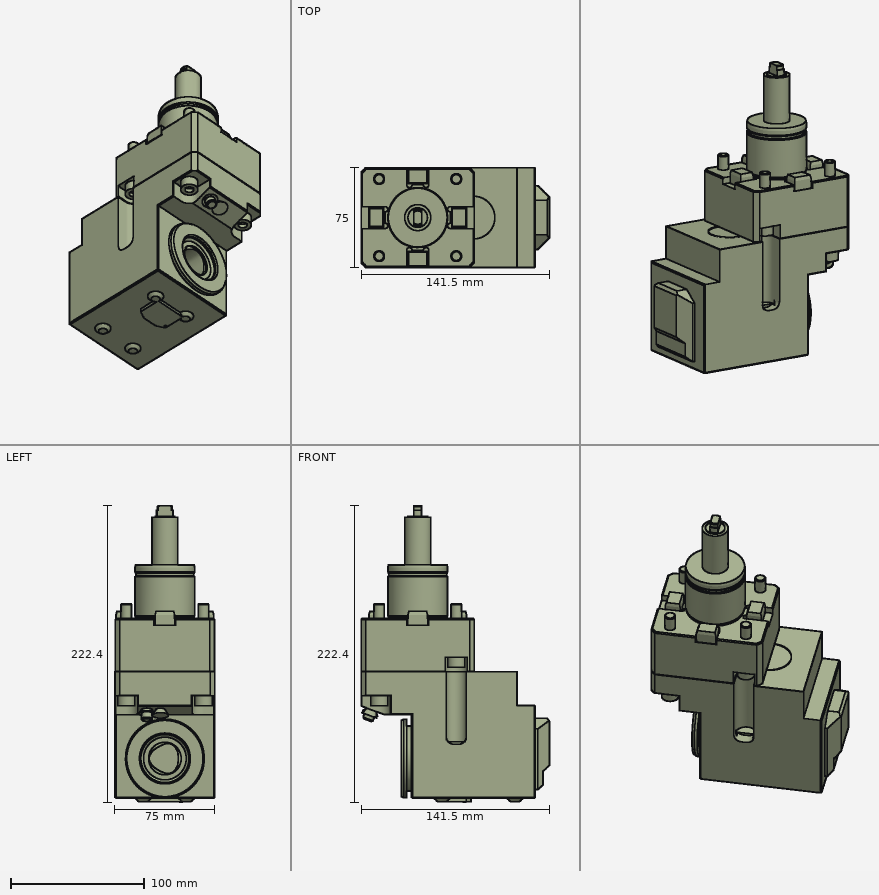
import cadquery as cq
import math


BLOCK_WIDTH = 75.0
HEAD_WIDTH = 74.5
HEAD_LENGTH = 85.0
HEAD_TOP = 134.8
SEAM = 95.0
CORNER_CHAMFER = 3.5
EDGE_CHAMFER = 1.0
SEAM_CHAMFER = 0.2

HEAD_LEFT = -HEAD_LENGTH / 2
BLOCK_LEFT = -4.7
BLOCK_RIGHT = 88.3
STEP_X = 74.5
STEP_Z = 69.5
CHIN_Z = 62.7
CHIN_NOSE_Z = 69.2
CHIN_SLOPE_END = -25.1

SCREW_PITCH = 57.8
SCREW_AT = SCREW_PITCH / 2
PIN_DIAMETER = 8.0
PIN_TOP = 146.0
PIN_CHAMFER = 0.7
SCREW_HEAD_DIAMETER = 13.0
SCREW_HEAD_HEIGHT = 7.5
SOCKET_DIAMETER = 6.5
SOCKET_DEPTH = 3.3

NOTCH_TOP = 76.7
NOTCH_RADIUS = 8.5
NOTCH_CHAMFER = 0.7
SLOT_TOP = 105.6
SLOT_BOTTOM = 40.5
SLOT_RADIUS = 7.5
SLOT_HEAD_RADIUS = 8.2
SLOT_END_FILLET = 5.8
SLOT_BORE_BOTTOM = 42.5

KEY_WIDTH = 14.7
KEY_INNER = 25.4
KEY_OUTER = 36.7
KEY_TOP = 140.1
KEY_TAPER_HEIGHT = 2.7
KEY_TAPER_ANGLE = 15.0
KEYWAY_WIDTH = 16.5
KEYWAY_INNER = 24.5
KEYWAY_FLOOR = 129.9
RELIEF_DIAMETER = 4.0

COLLAR_RADIUS = 22.5
COLLAR_TOP = 175.0
COLLAR_RELIEF = 0.7
COLLAR_BASE_BOTTOM = 135.7
COLLAR_BASE_TOP = 137.0
GROOVE_BOTTOM = 166.8
GROOVE_TOP = 168.5
GROOVE_LOWER_LIP = 166.0
GROOVE_UPPER_LIP = 169.7
COLLAR_BEVEL_START = 173.0
COLLAR_BEVEL = 0.5
SHAFT_RADIUS = 9.8
SHAFT_TOP = 210.8
SHAFT_RIM_RADIUS = 7.3
SHAFT_RIM_HEIGHT = 0.5
TANG_DIAMETER = 13.0
TANG_WIDTH = 6.0
TANG_TOP = 219.3
TANG_STEP = 216.0
TANG_TOP_LENGTH = 11.3
TANG_CHAMFER = 0.7

SPINDLE_Z = 29.8
SPINDLE_FACE = -12.5
FLANGE_RADIUS = 29.5
FLANGE_BACK = -8.2
FLANGE_BEVEL = 2.0
NECK_RADIUS = 24.5
NECK_OVERLAP = 2.2
MOUTH_RADIUS = 19.1
MOUTH_BEVEL = 1.1
MOUTH_DEPTH = 2.7
SEAT_RADIUS = 16.0
SEAT_DEPTH = 4.5
TAPER_RADIUS = 12.2
TAPER_RIM_DEPTH = 1.3
LOBE_MEAN_RADIUS = 11.0
LOBE_HEIGHT = 1.0
LOBE_COUNT = 3
LOBE_POINTS = 36
SOCKET_END_DEPTH = 33.4

CAP_DEPTH = 10.7
CAP_RIM = 1.8
CAP_WIDTH = 48.0
CAP_TOP = 60.0
CAP_BOTTOM = 6.5
CAP_TOP_BEVEL_X = 97.0
CAP_TOP_BEVEL_Z = 57.4
CAP_RECESS_X = 94.0
CAP_RECESS_TOP = 20.2
CAP_RECESS_BOTTOM = 10.0
CAP_RECESS_SLOPE_TOP = 25.0
CAP_CORNER_Y = 11.1
CAP_CORNER_Z = 8.0

PORT_DIAMETER = 32.0
PORT_DEPTH = 0.7
PORT_X = 41.8

NOZZLE_X = -34.7
NOZZLE_SINK = 1.1
NOZZLE_DISC_DIAMETER = 12.0
NOZZLE_NECK_DIAMETER = 6.0
NOZZLE_TIP_DIAMETER = 8.0
NOZZLE_TIP_CHAMFER = 1.0
NOZZLE_DISC_END = 4.0
NOZZLE_TIP_END = 9.3
NOZZLE_Y = 13.5
PLUG_END = 5.5
PLUG_Y = 3.3

FOOT_HEIGHT = 2.7
FOOT_DIAMETER = 12.0
FOOT_TIP_DIAMETER = 6.7
FOOT_Y = 16.2
FOOT_XS = (18.2, 73.0)
PAD_LEFT = 18.2
PAD_RIGHT = 40.0
PAD_WIDTH = 26.7
PAD_CORNER_X = 3.5
PAD_CORNER_Y = 7.0
STUD_X = 35.1
STUD_Y = -12.0
STUD_DIAMETER = 2.0
STUD_END = -3.1


def box(x0, x1, y0, y1, z0, z1):
    """Axis-aligned box given by its limits."""
    corner = (x0, y0, z0)
    return cq.Workplane("XY").box(x1 - x0, y1 - y0, z1 - z0, centered=False).translate(corner)


def rod(x, y, z0, z1, diameter):
    """Vertical cylinder between two heights."""
    return cq.Workplane("XY", origin=(x, y, z0)).circle(diameter / 2).extrude(z1 - z0)


def turned(profile):
    """Solid of revolution about Z from (radius, z) points."""
    return cq.Workplane("XZ").polyline(profile).close().revolve(360, (0, 0), (0, 1))


def cone(height, base_diameter, end_diameter):
    """Truncated cone standing on the XY plane."""
    return turned([(0, 0), (base_diameter / 2, 0), (end_diameter / 2, height), (0, height)])


def along_spindle(profile):
    """Solid of revolution about the spindle axis from (x, radius) points."""
    solid = cq.Workplane("XZ").polyline(profile).close().revolve(360, (0, 0), (1, 0))
    return solid.translate((0, 0, SPINDLE_Z))


def corner_notch():
    """Notch for the screw at the -X, -Y corner, with a rounded inner corner."""
    inner = -SCREW_AT + NOTCH_RADIUS
    cutter = box(-HEAD_LENGTH, inner, -BLOCK_WIDTH, inner, 0, NOTCH_TOP)
    return cutter.edges("|Z and >X and >Y").fillet(NOTCH_RADIUS)


def gear_block():
    half = BLOCK_WIDTH / 2
    lower = box(BLOCK_LEFT, BLOCK_RIGHT, -half, half, 0, STEP_Z)
    lower = lower.edges("|Z or <Z or (>X and >Z)").chamfer(EDGE_CHAMFER)
    outline = [
        (HEAD_LEFT, SEAM),
        (HEAD_LEFT, CHIN_NOSE_Z),
        (CHIN_SLOPE_END, CHIN_Z),
        (STEP_X, CHIN_Z),
        (STEP_X, SEAM),
    ]
    upper = cq.Workplane("XZ", origin=(0, half, 0)).polyline(outline).close().extrude(BLOCK_WIDTH)
    upper = upper.faces("<X").edges("|Z").chamfer(CORNER_CHAMFER)
    upper = upper.faces(">Z").edges().chamfer(SEAM_CHAMFER)
    upper = upper.cut(corner_notch()).cut(corner_notch().mirror("XZ"))
    low_corner = (-BLOCK_RIGHT, -BLOCK_WIDTH, 0)
    high_corner = (BLOCK_RIGHT, BLOCK_WIDTH, NOTCH_TOP + SEAM_CHAMFER)
    overhang = cq.selectors.BoxSelector(low_corner, high_corner)
    upper = upper.faces("<X or <Y or >Y").edges(overhang).chamfer(NOTCH_CHAMFER)
    port = rod(PORT_X, 0, SEAM - PORT_DEPTH, SEAM, PORT_DIAMETER)
    return lower.union(upper.cut(port))


def keyway():
    """Keyway on the +X side, open outwards, with relieved inner corners."""
    half = KEYWAY_WIDTH / 2
    cutter = box(KEYWAY_INNER, HEAD_LENGTH, -half, half, KEYWAY_FLOOR, HEAD_TOP)
    offset = half - RELIEF_DIAMETER / 2
    for y in (-offset, offset):
        cutter = cutter.union(rod(KEYWAY_INNER, y, KEYWAY_FLOOR, HEAD_TOP, RELIEF_DIAMETER))
    return cutter


def key():
    half = KEY_WIDTH / 2
    shoulder = KEY_TOP - KEY_TAPER_HEIGHT
    block = box(KEY_INNER, KEY_OUTER, -half, half, KEYWAY_FLOOR, shoulder)
    top = (
        cq.Workplane("XY", origin=((KEY_INNER + KEY_OUTER) / 2, 0, shoulder))
        .rect(KEY_OUTER - KEY_INNER, KEY_WIDTH)
        .extrude(KEY_TAPER_HEIGHT, taper=KEY_TAPER_ANGLE)
    )
    return block.union(top)


def mounting_head():
    half_x = HEAD_LENGTH / 2
    half_y = HEAD_WIDTH / 2
    head = box(-half_x, half_x, -half_y, half_y, SEAM, HEAD_TOP)
    head = head.edges("|Z").chamfer(CORNER_CHAMFER)
    head = head.faces(">Z").edges().chamfer(EDGE_CHAMFER)
    head = head.faces("<Z").edges().chamfer(SEAM_CHAMFER)
    for angle in (0, 90, 180, 270):
        head = head.cut(keyway().rotate((0, 0, 0), (0, 0, 1), angle))
        head = head.union(key().rotate((0, 0, 0), (0, 0, 1), angle))
    for x in (-SCREW_AT, SCREW_AT):
        for y in (-SCREW_AT, SCREW_AT):
            pin = rod(x, y, SEAM, PIN_TOP, PIN_DIAMETER)
            head = head.union(pin.faces(">Z").chamfer(PIN_CHAMFER))
    return head


def drive_shaft():
    groove = COLLAR_RADIUS - COLLAR_RELIEF
    shaft = turned([
        (0, SEAM),
        (groove, SEAM),
        (groove, COLLAR_BASE_BOTTOM),
        (COLLAR_RADIUS, COLLAR_BASE_TOP),
        (COLLAR_RADIUS, GROOVE_LOWER_LIP),
        (groove, GROOVE_BOTTOM),
        (groove, GROOVE_TOP),
        (COLLAR_RADIUS, GROOVE_UPPER_LIP),
        (COLLAR_RADIUS, COLLAR_BEVEL_START),
        (COLLAR_RADIUS - COLLAR_BEVEL, COLLAR_TOP),
        (SHAFT_RADIUS, COLLAR_TOP),
        (SHAFT_RADIUS, SHAFT_TOP),
        (SHAFT_RIM_RADIUS, SHAFT_TOP),
        (SHAFT_RIM_RADIUS, SHAFT_TOP + SHAFT_RIM_HEIGHT),
        (0, SHAFT_TOP + SHAFT_RIM_HEIGHT),
    ])
    half = TANG_WIDTH / 2
    tang = rod(0, 0, SHAFT_TOP, TANG_STEP, TANG_DIAMETER)
    tang_top = rod(0, 0, TANG_STEP, TANG_TOP, TANG_TOP_LENGTH)
    tang = tang.union(tang_top.faces(">Z").chamfer(TANG_CHAMFER))
    tang = tang.intersect(box(-half, half, -TANG_DIAMETER, TANG_DIAMETER, SHAFT_TOP, TANG_TOP))
    return shaft.union(tang)


def side_slot():
    """Screw access slot on the -Y side: a round bore opened outwards."""
    def opening(radius, z0, z1):
        return box(SCREW_AT - radius, SCREW_AT + radius, -BLOCK_WIDTH, -SCREW_AT, z0, z1)

    def bore(radius, z0, z1):
        return rod(SCREW_AT, -SCREW_AT, z0, z1, 2 * radius)

    slot = opening(SLOT_RADIUS, SLOT_BOTTOM, SEAM).edges("|Y and <Z").fillet(SLOT_END_FILLET)
    slot = slot.union(bore(SLOT_RADIUS, SLOT_BORE_BOTTOM, SEAM))
    slot = slot.union(opening(SLOT_HEAD_RADIUS, SEAM, SLOT_TOP))
    return slot.union(bore(SLOT_HEAD_RADIUS, SEAM, SLOT_TOP))


def screw_head(x, y, top):
    bottom = top - SCREW_HEAD_HEIGHT
    head = rod(x, y, bottom, top, SCREW_HEAD_DIAMETER)
    return head.cut(rod(x, y, bottom, bottom + SOCKET_DEPTH, SOCKET_DIAMETER))


def spindle_nose():
    return along_spindle([
        (SPINDLE_FACE, 0),
        (SPINDLE_FACE, FLANGE_RADIUS - FLANGE_BEVEL / 2),
        (SPINDLE_FACE + FLANGE_BEVEL, FLANGE_RADIUS),
        (FLANGE_BACK, FLANGE_RADIUS),
        (FLANGE_BACK, NECK_RADIUS),
        (BLOCK_LEFT + NECK_OVERLAP, NECK_RADIUS),
        (BLOCK_LEFT + NECK_OVERLAP, 0),
    ])


def tool_socket():
    """Stepped mouth leading into a three-lobed socket."""
    seat = SPINDLE_FACE + SEAT_DEPTH
    mouth = along_spindle([
        (SPINDLE_FACE, 0),
        (SPINDLE_FACE, MOUTH_RADIUS),
        (SPINDLE_FACE + MOUTH_BEVEL, MOUTH_RADIUS - MOUTH_BEVEL),
        (SPINDLE_FACE + MOUTH_DEPTH, MOUTH_RADIUS - MOUTH_BEVEL),
        (seat, SEAT_RADIUS),
        (seat, TAPER_RADIUS),
        (seat + TAPER_RIM_DEPTH, TAPER_RADIUS),
        (seat + TAPER_RIM_DEPTH, 0),
    ])
    lobes = []
    for i in range(LOBE_POINTS):
        angle = 2 * math.pi * i / LOBE_POINTS
        radius = LOBE_MEAN_RADIUS + LOBE_HEIGHT * math.cos(LOBE_COUNT * angle)
        lobes.append((radius * math.cos(angle), radius * math.sin(angle)))
    plane = cq.Workplane("YZ", origin=(seat, 0, SPINDLE_Z))
    socket = plane.spline(lobes, periodic=True).close().extrude(SOCKET_END_DEPTH)
    return mouth.union(socket)


def rear_cap():
    half = CAP_WIDTH / 2
    end = BLOCK_RIGHT + CAP_DEPTH
    rim = BLOCK_RIGHT + CAP_RIM
    bevel = end - rim
    side = [
        (BLOCK_RIGHT, CAP_BOTTOM),
        (rim, CAP_BOTTOM),
        (CAP_RECESS_X, CAP_RECESS_BOTTOM),
        (CAP_RECESS_X, CAP_RECESS_TOP),
        (end, CAP_RECESS_SLOPE_TOP),
        (end, CAP_TOP_BEVEL_Z),
        (CAP_TOP_BEVEL_X, CAP_TOP),
        (BLOCK_RIGHT, CAP_TOP),
    ]
    plan = [
        (BLOCK_RIGHT, -half),
        (rim, -half),
        (end, -half + bevel),
        (end, half - bevel),
        (rim, half),
        (BLOCK_RIGHT, half),
    ]
    face = [
        (-half, CAP_BOTTOM),
        (half, CAP_BOTTOM),
        (half, CAP_TOP - CAP_CORNER_Z),
        (half - CAP_CORNER_Y, CAP_TOP),
        (-half + CAP_CORNER_Y, CAP_TOP),
        (-half, CAP_TOP - CAP_CORNER_Z),
    ]
    cap = cq.Workplane("XZ", origin=(0, half, 0)).polyline(side).close().extrude(CAP_WIDTH)
    cap = cap.intersect(cq.Workplane("XY").polyline(plan).close().extrude(CAP_TOP))
    front = cq.Workplane("YZ", origin=(BLOCK_RIGHT, 0, 0)).polyline(face).close()
    return cap.intersect(front.extrude(CAP_DEPTH))


def on_chin(solid, y):
    """Point a solid built along +Z outwards from the sloped chin face."""
    run = CHIN_SLOPE_END - HEAD_LEFT
    drop = CHIN_NOSE_Z - CHIN_Z
    tilt = math.degrees(math.atan2(drop, run))
    surface_z = CHIN_NOSE_Z - (NOZZLE_X - HEAD_LEFT) * drop / run
    placed = solid.translate((0, 0, -NOZZLE_SINK)).rotate((0, 0, 0), (0, 1, 0), 180 + tilt)
    return placed.translate((NOZZLE_X, y, surface_z))


def coolant_nozzles():
    disc = cone(NOZZLE_DISC_END, NOZZLE_NECK_DIAMETER, NOZZLE_DISC_DIAMETER)
    tip = rod(0, 0, 0, NOZZLE_TIP_END, NOZZLE_TIP_DIAMETER).faces(">Z").chamfer(NOZZLE_TIP_CHAMFER)
    spout = disc.union(tip)
    plug = cone(PLUG_END, NOZZLE_NECK_DIAMETER, NOZZLE_DISC_DIAMETER)
    return on_chin(spout, NOZZLE_Y).union(on_chin(plug, PLUG_Y))


def feet():
    half = PAD_WIDTH / 2
    pad = (
        cq.Workplane("XY", origin=(0, 0, -FOOT_HEIGHT))
        .polyline([
            (PAD_LEFT, -half),
            (PAD_RIGHT - PAD_CORNER_X, -half),
            (PAD_RIGHT, -half + PAD_CORNER_Y),
            (PAD_RIGHT, half - PAD_CORNER_Y),
            (PAD_RIGHT - PAD_CORNER_X, half),
            (PAD_LEFT, half),
        ])
        .close()
        .extrude(FOOT_HEIGHT)
    )
    foot = cone(FOOT_HEIGHT, FOOT_TIP_DIAMETER, FOOT_DIAMETER).translate((0, 0, -FOOT_HEIGHT))
    for x in FOOT_XS:
        for y in (-FOOT_Y, FOOT_Y):
            pad = pad.union(foot.translate((x, y, 0)))
    return pad.union(rod(STUD_X, STUD_Y, STUD_END, 0, STUD_DIAMETER))


body = gear_block().union(mounting_head()).union(drive_shaft())
body = body.cut(side_slot()).cut(side_slot().mirror("XZ"))
for side_y in (-SCREW_AT, SCREW_AT):
    body = body.union(screw_head(-SCREW_AT, side_y, NOTCH_TOP))
    body = body.union(screw_head(SCREW_AT, side_y, SLOT_TOP))
for addition in (spindle_nose(), rear_cap(), coolant_nozzles(), feet()):
    body = body.union(addition)

result = body.cut(tool_socket())